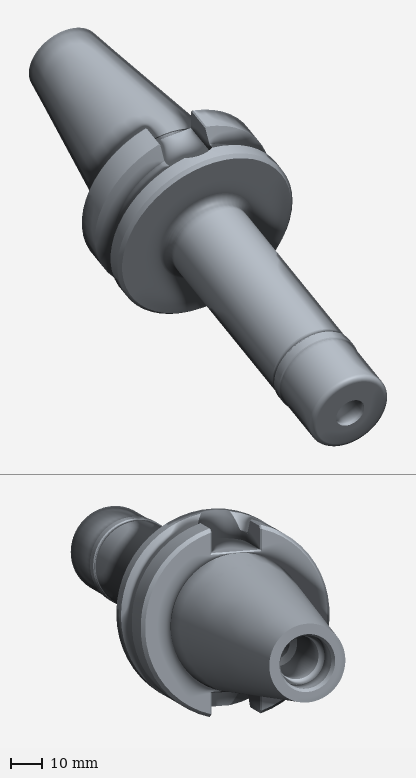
import cadquery as cq
import math

TOTAL_LENGTH = 185.8
TAPER_LENGTH = 66.0
FLANGE_START = 67.3
FLANGE_END = 92.5
SHANK_END = 161.0
NUT_START = 161.6

TAPER_LARGE_RADIUS = 22.3
TAPER_RATIO = 7 / 24
TAPER_SMALL_RADIUS = TAPER_LARGE_RADIUS - TAPER_LENGTH * TAPER_RATIO / 2
NECK_RADIUS = 22.0

FLANGE_RADIUS = 63.0 / 2
FLANGE_CHAMFER = 1.1
GROOVE_CENTER = 82.0
GROOVE_FLOOR_WIDTH = 4.5
GROOVE_FLOOR_RADIUS = 26.5
GROOVE_FLANK_ANGLE = 30.0
GROOVE_FLANK_RUN = (FLANGE_RADIUS - GROOVE_FLOOR_RADIUS) * math.tan(math.radians(GROOVE_FLANK_ANGLE))

SLOT_WIDTH = 16.2
SLOT_FLOOR_HEIGHT = 22.5
SLOT_END = 88.6
EDGE_MARGIN = 0.2
SLOT_EDGE_CHAMFER = 0.46

SHANK_RADIUS = 14.0
SHANK_ROOT_FILLET = 2.8
SHANK_END_CHAMFER = 0.7
NOSE_RADIUS = 12.0

ENTRY_BORE_RADIUS = 8.5
ENTRY_CHAMFER = 0.7
ENTRY_CHAMFER_LENGTH = 1.5
ENTRY_BORE_DEPTH = 8.0
THREAD_BORE_RADIUS = 7.0
THREAD_BORE_DEPTH = 29.7
DRILL_POINT_ANGLE = 118.0
THROUGH_BORE_RADIUS = 5.0

NUT_RADIUS = SHANK_RADIUS
COLLAR_RADIUS = 14.3
COLLAR_WIDTH = 4.0
COLLAR_CHAMFER = 0.5
NUT_END_FILLET = 1.7
NUT_WALL = 5.5
NOSE_END = TOTAL_LENGTH - NUT_WALL


def cylinder(start, end, radius):
    """Solid cylinder on the X axis between two stations."""
    return cq.Workplane("YZ", origin=(start, 0, 0)).circle(radius).extrude(end - start)


def revolve_about_x(profile):
    return profile.close().revolve(360, (0, 0, 0), (1, 0, 0))


def make_outer_shape():
    """Taper, flange, shank and nose as one turned profile."""
    floor_start = GROOVE_CENTER - GROOVE_FLOOR_WIDTH / 2
    floor_end = GROOVE_CENTER + GROOVE_FLOOR_WIDTH / 2
    shoulder_radius = FLANGE_RADIUS - FLANGE_CHAMFER
    fillet_mid = SHANK_ROOT_FILLET * (1 - math.sqrt(0.5))
    profile = (
        cq.Workplane("XY")
        .moveTo(0, 0)
        .lineTo(0, TAPER_SMALL_RADIUS)
        .lineTo(TAPER_LENGTH, TAPER_LARGE_RADIUS)
        .lineTo(TAPER_LENGTH, NECK_RADIUS)
        .lineTo(FLANGE_START, NECK_RADIUS)
        .lineTo(FLANGE_START, shoulder_radius)
        .lineTo(FLANGE_START + FLANGE_CHAMFER, FLANGE_RADIUS)
        .lineTo(floor_start - GROOVE_FLANK_RUN, FLANGE_RADIUS)
        .lineTo(floor_start, GROOVE_FLOOR_RADIUS)
        .lineTo(floor_end, GROOVE_FLOOR_RADIUS)
        .lineTo(floor_end + GROOVE_FLANK_RUN, FLANGE_RADIUS)
        .lineTo(FLANGE_END - FLANGE_CHAMFER, FLANGE_RADIUS)
        .lineTo(FLANGE_END, shoulder_radius)
        .lineTo(FLANGE_END, SHANK_RADIUS + SHANK_ROOT_FILLET)
        .threePointArc(
            (FLANGE_END + fillet_mid, SHANK_RADIUS + fillet_mid),
            (FLANGE_END + SHANK_ROOT_FILLET, SHANK_RADIUS),
        )
        .lineTo(SHANK_END - SHANK_END_CHAMFER, SHANK_RADIUS)
        .lineTo(SHANK_END, SHANK_RADIUS - SHANK_END_CHAMFER)
        .lineTo(SHANK_END, NOSE_RADIUS)
        .lineTo(NOSE_END, NOSE_RADIUS)
        .lineTo(NOSE_END, 0)
    )
    return revolve_about_x(profile)


def make_stepped_bore():
    """Chamfered entry, thread bore and through bore, joined by cones."""
    thread_lead_in = ENTRY_BORE_RADIUS - THREAD_BORE_RADIUS
    drill_half_angle = math.radians(DRILL_POINT_ANGLE / 2)
    drill_cone_length = (THREAD_BORE_RADIUS - THROUGH_BORE_RADIUS) / math.tan(drill_half_angle)
    profile = (
        cq.Workplane("XY")
        .moveTo(0, 0)
        .lineTo(0, ENTRY_BORE_RADIUS + ENTRY_CHAMFER)
        .lineTo(ENTRY_CHAMFER_LENGTH, ENTRY_BORE_RADIUS)
        .lineTo(ENTRY_BORE_DEPTH, ENTRY_BORE_RADIUS)
        .lineTo(ENTRY_BORE_DEPTH + thread_lead_in, THREAD_BORE_RADIUS)
        .lineTo(THREAD_BORE_DEPTH, THREAD_BORE_RADIUS)
        .lineTo(THREAD_BORE_DEPTH + drill_cone_length, THROUGH_BORE_RADIUS)
        .lineTo(NOSE_END, THROUGH_BORE_RADIUS)
        .lineTo(NOSE_END, 0)
    )
    return revolve_about_x(profile)


def make_drive_slot(side):
    """Round-ended slot cutter, open toward the taper; side is +1 for +Z or -1 for -Z."""
    half_width = SLOT_WIDTH / 2
    arc_center = SLOT_END - half_width
    return (
        cq.Workplane("XY", origin=(0, 0, side * SLOT_FLOOR_HEIGHT))
        .moveTo(FLANGE_START, -half_width)
        .lineTo(arc_center, -half_width)
        .threePointArc((SLOT_END, 0), (arc_center, half_width))
        .lineTo(FLANGE_START, half_width)
        .close()
        .extrude(side * (FLANGE_RADIUS - SLOT_FLOOR_HEIGHT))
    )


def chamfer_slot_edges(holder):
    """Break the slot edges along the flange face and along the rim in front of the gripper groove."""
    half_width = SLOT_WIDTH / 2
    rim_end = GROOVE_CENTER - GROOVE_FLOOR_WIDTH / 2 - GROOVE_FLANK_RUN
    for side in (1, -1):
        lower_corner = (FLANGE_START - EDGE_MARGIN, -half_width - EDGE_MARGIN,
                        side * (SLOT_FLOOR_HEIGHT - EDGE_MARGIN))
        upper_corner = (rim_end - EDGE_MARGIN, half_width + EDGE_MARGIN,
                        side * (FLANGE_RADIUS + EDGE_MARGIN))
        slot_edges = holder.edges(cq.selectors.BoxSelector(lower_corner, upper_corner))
        wall_foot = cq.selectors.BoxSelector(
            (FLANGE_START + FLANGE_CHAMFER, -half_width - EDGE_MARGIN, side * (SLOT_FLOOR_HEIGHT - EDGE_MARGIN)),
            (rim_end, half_width + EDGE_MARGIN, side * (SLOT_FLOOR_HEIGHT + EDGE_MARGIN)),
        )
        holder = slot_edges.edges(cq.selectors.InverseSelector(wall_foot)).chamfer(SLOT_EDGE_CHAMFER)
    return holder


def make_holder():
    holder = make_outer_shape().cut(make_stepped_bore())
    for side in (1, -1):
        holder = holder.cut(make_drive_slot(side))
    return chamfer_slot_edges(holder)


def make_nut():
    """Collared nut that caps the nose, with a through hole in its end wall."""
    body = cylinder(NUT_START, TOTAL_LENGTH, NUT_RADIUS).faces(">X").edges().fillet(NUT_END_FILLET)
    collar = cylinder(NUT_START, NUT_START + COLLAR_WIDTH, COLLAR_RADIUS).edges().chamfer(COLLAR_CHAMFER)
    nose_recess = cylinder(NUT_START, NOSE_END, NOSE_RADIUS)
    end_hole = cylinder(NOSE_END, TOTAL_LENGTH, THROUGH_BORE_RADIUS)
    return body.union(collar).cut(nose_recess).cut(end_hole)


holder = make_holder()
nut = make_nut()
result = cq.Compound.makeCompound([holder.val(), nut.val()])